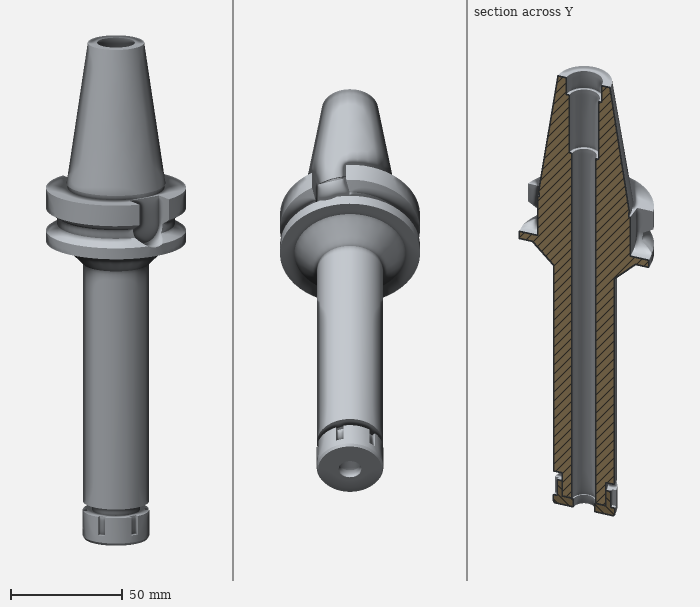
import cadquery as cq
import math


gauge_diameter = 44.45
taper_length = 65.4
taper_ratio = 7 / 24
taper_end_diameter = gauge_diameter - taper_length * taper_ratio
relief_diameter = 43.6

flange_diameter = 63.0
flange_top = -2.0
flange_bottom = -27.0
groove_center = -16.75
groove_diameter = 53.0
groove_mouth_width = 10.3
groove_flank_angle = 32.0
groove_depth = (flange_diameter - groove_diameter) / 2
groove_floor_width = groove_mouth_width - 2 * groove_depth * math.tan(math.radians(groove_flank_angle))

drive_slot_width = 16.1
drive_slot_floor = 22.5
drive_slot_bottom = -22.9

body_diameter = 29.8
cone_top_diameter = 50.0
cone_bottom = flange_bottom - (cone_top_diameter - body_diameter) / 2
overall_reach = 165.0

nut_diameter = 30.0
nut_length = 13.0
nut_bottom = -overall_reach
nut_top = nut_bottom + nut_length
nut_chamfer_height = 1.2
nut_chamfer_width = 0.7
nut_bore_diameter = 10.2
wrench_slot_count = 6
wrench_slot_width = 3.5
wrench_slot_depth = 2.0
wrench_slot_length = 8.5

spigot_diameter = 21.5
nut_gap = 4.0
body_bottom = nut_top + nut_gap
spigot_bottom = nut_top - wrench_slot_length

counterbore_diameter = 17.0
counterbore_depth = 9.0
thread_bore_diameter = 14.2
thread_bore_depth = 40.0
through_bore_diameter = 11.4


def holder_blank():
    """Revolve the outer profile of the taper, flange, extension and spigot."""
    outline = [
        (0, taper_length),
        (taper_end_diameter / 2, taper_length),
        (gauge_diameter / 2, 0),
        (relief_diameter / 2, 0),
        (relief_diameter / 2, flange_top),
        (flange_diameter / 2, flange_top),
        (flange_diameter / 2, groove_center + groove_mouth_width / 2),
        (groove_diameter / 2, groove_center + groove_floor_width / 2),
        (groove_diameter / 2, groove_center - groove_floor_width / 2),
        (flange_diameter / 2, groove_center - groove_mouth_width / 2),
        (flange_diameter / 2, flange_bottom),
        (cone_top_diameter / 2, flange_bottom),
        (body_diameter / 2, cone_bottom),
        (body_diameter / 2, body_bottom),
        (spigot_diameter / 2, body_bottom),
        (spigot_diameter / 2, spigot_bottom),
        (0, spigot_bottom),
    ]
    return cq.Workplane("XZ").polyline(outline).close().revolve(360, (0, 0, 0), (0, 1, 0))


def drive_slot():
    """Round-ended slot cutter on the +X side, open at the top of the flange."""
    half_width = drive_slot_width / 2
    arc_center = drive_slot_bottom + half_width
    return (
        cq.Workplane("YZ", origin=(drive_slot_floor, 0, 0))
        .moveTo(-half_width, flange_top)
        .lineTo(-half_width, arc_center)
        .threePointArc((0, drive_slot_bottom), (half_width, arc_center))
        .lineTo(half_width, flange_top)
        .close()
        .extrude(flange_diameter / 2)
    )


def bore(diameter, top, bottom):
    """Axial cylinder between two heights."""
    return cq.Workplane("XY", origin=(0, 0, bottom)).circle(diameter / 2).extrude(top - bottom)


def make_holder():
    holder = holder_blank()
    for angle in (0, 180):
        holder = holder.cut(drive_slot().rotate((0, 0, 0), (0, 0, 1), angle))
    holder = holder.cut(bore(through_bore_diameter, taper_length, spigot_bottom))
    holder = holder.cut(bore(thread_bore_diameter, taper_length, taper_length - thread_bore_depth))
    return holder.cut(bore(counterbore_diameter, taper_length, taper_length - counterbore_depth))


def wrench_slot():
    """Slot cutter on the +X side of the nut, open at the nut's top face."""
    slot_floor = nut_diameter / 2 - wrench_slot_depth
    return (
        cq.Workplane("XY")
        .box(2 * wrench_slot_depth, wrench_slot_width, wrench_slot_length, centered=(False, True, False))
        .translate((slot_floor, 0, nut_top - wrench_slot_length))
    )


def make_nut():
    nut = bore(nut_diameter, nut_top, nut_bottom)
    nut = nut.faces("<Z").chamfer(nut_chamfer_height, nut_chamfer_width)
    nut = nut.cut(bore(nut_bore_diameter, nut_top, nut_bottom))
    nut = nut.cut(bore(spigot_diameter, nut_top, spigot_bottom))
    for index in range(wrench_slot_count):
        angle = index * 360 / wrench_slot_count
        nut = nut.cut(wrench_slot().rotate((0, 0, 0), (0, 0, 1), angle))
    return nut


holder = make_holder()
nut = make_nut()

result = cq.Compound.makeCompound([holder.val(), nut.val()])